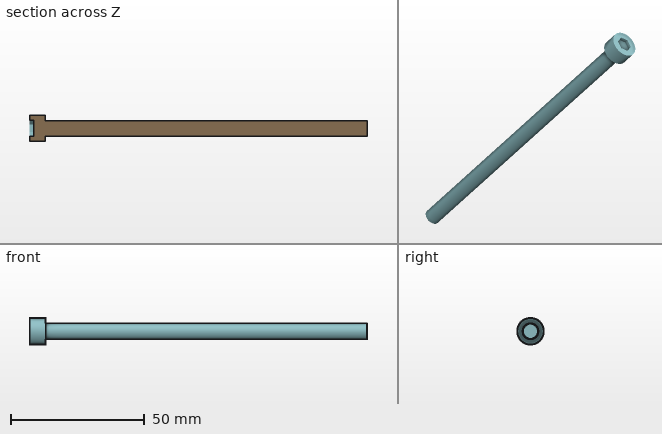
import cadquery as cq
import math

HEAD_DIAMETER = 10.0
HEAD_HEIGHT = 6.0
SHANK_DIAMETER = 6.0
SHANK_LENGTH = 120.0
TIP_CHAMFER = 0.2
SOCKET_ACROSS_FLATS = 5.0
SOCKET_DEPTH = 1.5


def make_head():
    return cq.Workplane("YZ").circle(HEAD_DIAMETER / 2).extrude(-HEAD_HEIGHT)


def make_shank():
    shank = cq.Workplane("YZ").circle(SHANK_DIAMETER / 2).extrude(SHANK_LENGTH)
    return shank.faces(">X").chamfer(TIP_CHAMFER)


def make_hex_socket():
    across_corners = SOCKET_ACROSS_FLATS / math.cos(math.radians(30))
    head_top = cq.Workplane("YZ", origin=(-HEAD_HEIGHT, 0, 0))
    return head_top.polygon(6, across_corners).extrude(SOCKET_DEPTH)


result = make_head().union(make_shank()).cut(make_hex_socket())